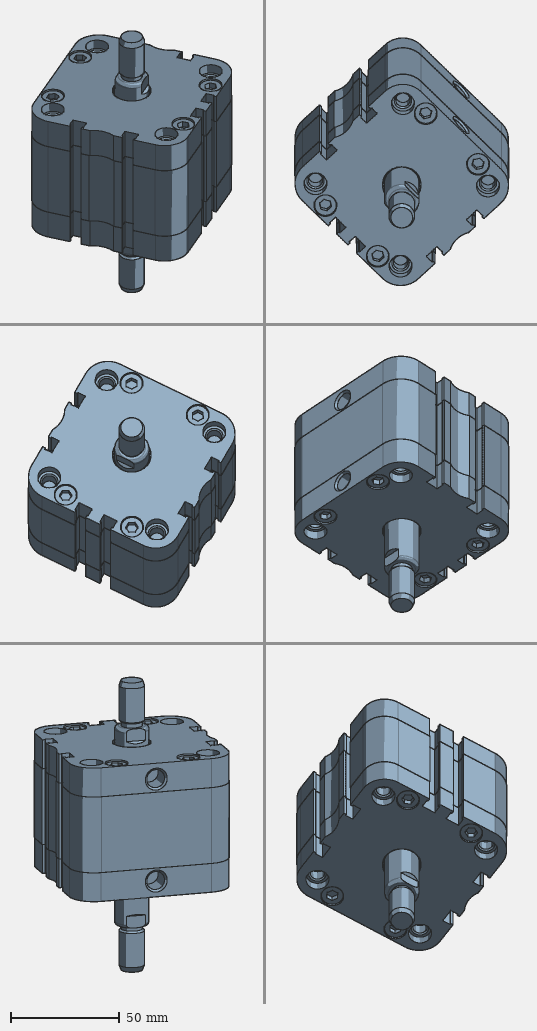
import cadquery as cq
import math

BODY_WIDTH = 77.0
CORNER_RADIUS = 11.8
CAP_HEIGHT = 13.9
BODY_BOTTOM_Z = -24.5
BODY_TOP_Z = 39.8
BARREL_BOTTOM_Z = BODY_BOTTOM_Z + CAP_HEIGHT
BARREL_TOP_Z = BODY_TOP_Z - CAP_HEIGHT
CAP_INSET = 0.1
BORE_DIAMETER = 63.0

SIDE_SLOT_OFFSET = 12.9
BACK_SLOT_OFFSET = 6.5
SLOT_DEPTH = 5.3
SLOT_LIP = 1.4
SLOT_OPENING = 5.5
SLOT_WIDTH = 6.5

HOLLOW_WIDTH = 12.2
HOLLOW_DEPTH = 1.7

MOUNT_OFFSET = 28.2
MOUNT_BORE_DIAMETER = 10.5
MOUNT_BORE_DEPTH = 4.6
MOUNT_HOLE_DIAMETER = 6.7
MOUNT_HOLE_DEPTH = 11.1
MOUNT_CHAMFER = 0.7

SCREW_X = 32.4
SCREW_Y = 17.4
SCREW_RECESS_DIAMETER = 10.5
SCREW_HEAD_DIAMETER = 10.0
SCREW_RECESS_DEPTH = 4.2
SCREW_HEAD_DROP = 0.7
HEX_FLATS = 5.0
HEX_DEPTH = 2.8
LEFT_HEX_ANGLE = 30
RIGHT_HEX_ANGLE = 0

PORT_DIAMETER = 8.6
PORT_MOUTH_DIAMETER = 10.5
PORT_DEPTH = 11.1
PORT_FROM_END = 7.6

ROD_RELIEF_DIAMETER = 16.5
ROD_RELIEF_DEPTH = 2.8
ROD_RECESS_DIAMETER = 17.7
ROD_RECESS_DEPTH = 1.4
ROD_RECESS_MOUTH_DIAMETER = 18.0

ROD_DIAMETER = 16.0
ROD_HALF_LENGTH = 69.5
SHOULDER_Z = 47.8
SHOULDER_FILLET = 1.7
NECK_DIAMETER = 9.9
THREAD_DIAMETER = 12.0
THREAD_START_Z = 49.8
THREAD_RUNOUT = 0.8
TIP_DIAMETER = 10.0
TIP_CHAMFER = 2.5
FLATS_WIDTH = 13.0
FLATS_START_Z = 42.0
FLATS_RAMP = 1.0


def prism(outline, bottom_z, top_z):
    return outline.extrude(top_z - bottom_z).translate((0, 0, bottom_z))


def t_slot(inset, bottom_z, top_z):
    """T-slot for the +X face of the body, with its floor, lips and inner walls moved by the inset."""
    height = top_z - bottom_z
    floor_x = BODY_WIDTH / 2 - SLOT_DEPTH - inset
    lip_x = BODY_WIDTH / 2 - SLOT_LIP - inset
    width = SLOT_WIDTH + 2 * inset
    cavity = cq.Workplane("XY").box(lip_x - floor_x, width, height, centered=(False, True, False))
    opening = cq.Workplane("XY").box(2 * SLOT_LIP, SLOT_OPENING, height, centered=(False, True, False))
    slot = cavity.translate((floor_x, 0, 0)).union(opening.translate((lip_x, 0, 0)))
    return slot.translate((0, 0, bottom_z))


def body_block(inset, bottom_z, top_z):
    """Length of the body section with its slots and side hollows, its outline moved in by the inset."""
    width = BODY_WIDTH - 2 * inset
    block = prism(cq.Workplane("XY").rect(width, width), bottom_z, top_z)
    block = block.edges("|Z").fillet(CORNER_RADIUS - inset)
    slot = t_slot(inset, bottom_z, top_z)
    hollow_radius = (HOLLOW_WIDTH**2 / 4 + HOLLOW_DEPTH**2) / (2 * HOLLOW_DEPTH)
    hollow_y = BODY_WIDTH / 2 - HOLLOW_DEPTH + hollow_radius
    for side in (-1, 1):
        for offset in (-SIDE_SLOT_OFFSET, SIDE_SLOT_OFFSET):
            side_slot = slot.rotate((0, 0, 0), (0, 0, 1), 90 * side)
            block = block.cut(side_slot.translate((offset, 0, 0)))
        hollow = cq.Workplane("XY").center(0, side * hollow_y).circle(hollow_radius)
        block = block.cut(prism(hollow, bottom_z, top_z))
        block = block.cut(slot.translate((0, side * BACK_SLOT_OFFSET, 0)))
    return block


def mount_hole():
    """Stepped hole going down from z = 0."""
    radius = MOUNT_HOLE_DIAMETER / 2
    return (
        cq.Workplane("XZ")
        .lineTo(MOUNT_BORE_DIAMETER / 2, 0)
        .lineTo(MOUNT_BORE_DIAMETER / 2, -MOUNT_BORE_DEPTH)
        .lineTo(radius + MOUNT_CHAMFER, -MOUNT_BORE_DEPTH)
        .lineTo(radius, -MOUNT_BORE_DEPTH - MOUNT_CHAMFER)
        .lineTo(radius, -MOUNT_HOLE_DEPTH)
        .lineTo(0, -MOUNT_HOLE_DEPTH)
        .close()
        .revolve(360, (0, 0, 0), (0, 1, 0))
    )


def screw_recess(hex_angle):
    """Space around and inside a socket head set into a face at z = 0."""
    recess = cq.Workplane("XY").circle(SCREW_RECESS_DIAMETER / 2).extrude(-SCREW_RECESS_DEPTH)
    head = cq.Workplane("XY").circle(SCREW_HEAD_DIAMETER / 2).extrude(SCREW_HEAD_DROP - SCREW_RECESS_DEPTH)
    socket = cq.Workplane("XY").polygon(6, HEX_FLATS / math.cos(math.pi / 6)).extrude(-HEX_DEPTH)
    head = head.translate((0, 0, -SCREW_HEAD_DROP))
    socket = socket.rotate((0, 0, 0), (0, 0, 1), hex_angle).translate((0, 0, -SCREW_HEAD_DROP))
    return recess.cut(head).union(socket)


def port():
    """Chamfered blind hole going from the -X face into the cap, at z = 0."""
    radius = PORT_DIAMETER / 2
    mouth = PORT_MOUTH_DIAMETER / 2
    return (
        cq.Workplane("XY")
        .lineTo(0, mouth)
        .lineTo(mouth - radius, radius)
        .lineTo(PORT_DEPTH, radius)
        .lineTo(PORT_DEPTH, 0)
        .close()
        .revolve(360, (0, 0, 0), (1, 0, 0))
        .translate((CAP_INSET - BODY_WIDTH / 2, 0, 0))
    )


def rod_hole():
    """Stepped through hole for the rod, going down from z = 0."""
    fit = cq.Workplane("XY").circle(ROD_DIAMETER / 2).extrude(-CAP_HEIGHT)
    relief = cq.Workplane("XY").circle(ROD_RELIEF_DIAMETER / 2).extrude(-ROD_RELIEF_DEPTH)
    recess = cq.Workplane("XY").circle(ROD_RECESS_DIAMETER / 2).extrude(-ROD_RECESS_DEPTH)
    chamfer = (ROD_RECESS_MOUTH_DIAMETER - ROD_RECESS_DIAMETER) / 2
    mouth = cq.Workplane("XY").circle(ROD_RECESS_MOUTH_DIAMETER / 2).extrude(-chamfer, taper=45)
    return fit.union(relief).union(recess).union(mouth)


def end_cap():
    """Cap with its outer face at z = 0 and the barrel below it."""
    cap = body_block(CAP_INSET, -CAP_HEIGHT, 0)
    cap = cap.cut(rod_hole())
    cap = cap.cut(port().translate((0, 0, -PORT_FROM_END)))
    for side_x in (-1, 1):
        hex_angle = LEFT_HEX_ANGLE if side_x < 0 else RIGHT_HEX_ANGLE
        for side_y in (-1, 1):
            cap = cap.cut(mount_hole().translate((side_x * MOUNT_OFFSET, side_y * MOUNT_OFFSET, 0)))
            cap = cap.cut(screw_recess(hex_angle).translate((side_x * SCREW_X, side_y * SCREW_Y, 0)))
    return cap


def barrel():
    tube = body_block(0, BARREL_BOTTOM_Z, BARREL_TOP_Z)
    bore = prism(cq.Workplane("XY").circle(BORE_DIAMETER / 2), BARREL_BOTTOM_Z, BARREL_TOP_Z)
    return tube.cut(bore)


def flat_cutter():
    """Cut that leaves one wrench flat on the +X side of the upper shoulder."""
    flat = FLATS_WIDTH / 2
    radius = ROD_DIAMETER / 2
    slope = FLATS_RAMP / (radius - flat)
    reach = 2 * radius
    return (
        cq.Workplane("XZ")
        .moveTo(flat, FLATS_START_Z)
        .lineTo(reach, FLATS_START_Z - slope * (reach - flat))
        .lineTo(reach, SHOULDER_Z)
        .lineTo(flat, SHOULDER_Z)
        .close()
        .extrude(radius, both=True)
    )


def rod_end():
    """Upper half of the rod, from z = 0 to the tip."""
    neck = NECK_DIAMETER / 2
    thread = THREAD_DIAMETER / 2
    shoulder = cq.Workplane("XY").circle(ROD_DIAMETER / 2).extrude(SHOULDER_Z)
    shoulder = shoulder.faces(">Z").edges().fillet(SHOULDER_FILLET)
    for angle in (0, 180):
        shoulder = shoulder.cut(flat_cutter().rotate((0, 0, 0), (0, 0, 1), angle))
    stud = (
        cq.Workplane("XZ")
        .lineTo(neck, 0)
        .lineTo(neck, THREAD_START_Z)
        .lineTo(thread, THREAD_START_Z + THREAD_RUNOUT)
        .lineTo(thread, ROD_HALF_LENGTH - TIP_CHAMFER)
        .lineTo(TIP_DIAMETER / 2, ROD_HALF_LENGTH)
        .lineTo(0, ROD_HALF_LENGTH)
        .close()
        .revolve(360, (0, 0, 0), (0, 1, 0))
    )
    return shoulder.union(stud)


def rod():
    upper = rod_end()
    return upper.union(upper.mirror("XY"))


upper_cap = end_cap().translate((0, 0, BODY_TOP_Z))
lower_cap = end_cap().mirror("XY").translate((0, 0, BODY_BOTTOM_Z))

result = cq.Compound.makeCompound([upper_cap.val(), barrel().val(), lower_cap.val(), rod().val()])